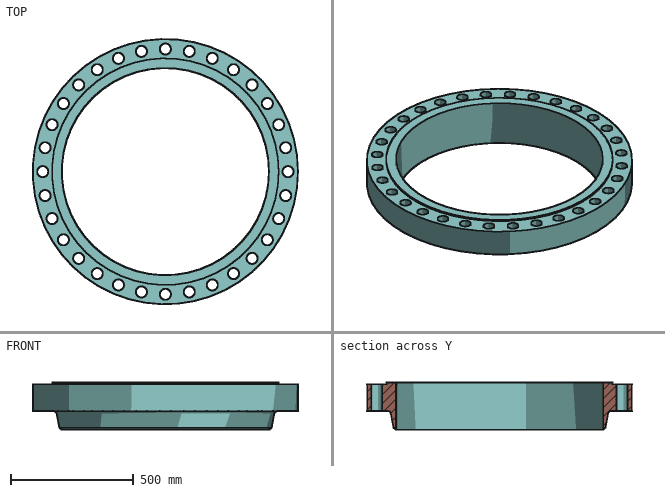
import cadquery as cq
import math

flange_diameter = 1085.85
flange_thickness = 111.13
raised_face_diameter = 927.1
raised_face_height = 6.35
bore_diameter = 846.0

bolt_count = 32
bolt_circle_diameter = 1003.3
bolt_hole_diameter = 44.45

hub_length = 76.2
hub_top_diameter = 895.35
hub_end_diameter = 869.95
hub_fillet_radius = 12.7
weld_land = 1.6
weld_bevel_angle = 37.5

flange_bottom = hub_length
flange_top = flange_bottom + flange_thickness
face_top = flange_top + raised_face_height


def make_body():
    """Revolve the flange, raised face and tapered hub about Z."""
    bore_radius = bore_diameter / 2
    flange_radius = flange_diameter / 2
    face_radius = raised_face_diameter / 2
    hub_top_radius = hub_top_diameter / 2
    hub_end_radius = hub_end_diameter / 2
    land_radius = bore_radius + weld_land
    bevel_height = (hub_end_radius - land_radius) * math.tan(math.radians(weld_bevel_angle))
    section = (
        cq.Workplane("XZ")
        .moveTo(bore_radius, 0)
        .lineTo(land_radius, 0)
        .lineTo(hub_end_radius, bevel_height)
        .lineTo(hub_top_radius, flange_bottom)
        .lineTo(flange_radius, flange_bottom)
        .lineTo(flange_radius, flange_top)
        .lineTo(face_radius, flange_top)
        .lineTo(face_radius, face_top)
        .lineTo(bore_radius, face_top)
        .close()
    )
    return section.revolve(360, (0, 0), (0, 1))


def fillet_hub_root(body):
    """Round the inside corner where the hub meets the back of the flange."""
    smallest_radius = cq.selectors.RadiusNthSelector(0)
    back_face = body.faces("|Z").faces("<Z[-2]")
    return back_face.edges(smallest_radius).fillet(hub_fillet_radius)


def cut_bolt_holes(body):
    """Drill the bolt circle through the flange, starting with a hole on the +X axis."""
    holes = (
        cq.Workplane("XY")
        .workplane(offset=flange_bottom)
        .polarArray(bolt_circle_diameter / 2, 0, 360, bolt_count)
        .circle(bolt_hole_diameter / 2)
        .extrude(flange_thickness)
    )
    return body.cut(holes)


result = cut_bolt_holes(fillet_hub_root(make_body()))